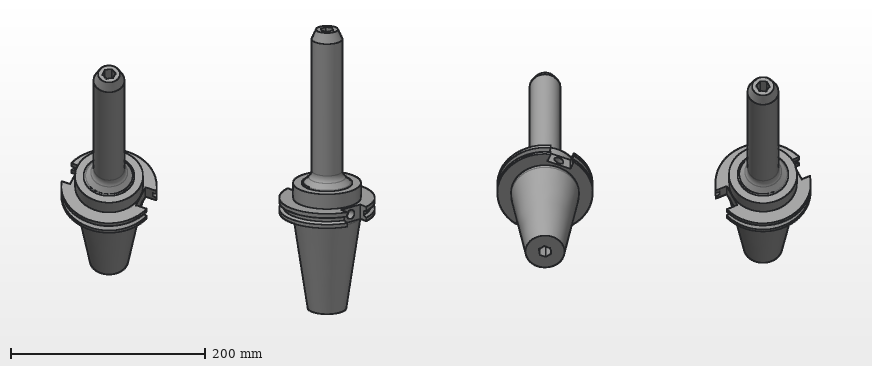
import cadquery as cq
import math

total_height = 304.8
taper_height = 101.5
flange_bottom = 105.0
flange_top = 120.7
collar_top = 137.0
arbor_bevel_height = 10.5

taper_small_radius = 20.0
taper_large_radius = 35.0
flange_radius = 49.23
collar_radius = 35.0
arbor_diameter = 32.0
arbor_radius = arbor_diameter / 2
arbor_tip_radius = 11.3

groove_floor_radius = 45.0
groove_bottom = 108.8
groove_top = 116.0
groove_side_height = 1.8

rim_radius = 26.2
rim_height = 1.0
cone_base_radius = 24.5
neck_fillet_radius = 10.0
neck_angle = math.radians(45)

slot_width = 25.5
slot_floor_left = 38.0
slot_floor_right = 35.5

hex_across_flats = 12.0
side_hole_diameter = 9.8
side_hole_depth = 9


def turned_body():
    cone_base_z = collar_top + rim_height
    cone_top_radius = arbor_radius + neck_fillet_radius * (1 - math.cos(neck_angle))
    cone_top_z = cone_base_z + (cone_base_radius - cone_top_radius) * math.tan(neck_angle)
    arc_top_z = cone_top_z + neck_fillet_radius * math.sin(neck_angle)
    arc_middle = (
        arbor_radius + neck_fillet_radius * (1 - math.cos(neck_angle / 2)),
        arc_top_z - neck_fillet_radius * math.sin(neck_angle / 2),
    )
    return (
        cq.Workplane("XZ")
        .lineTo(taper_small_radius, 0)
        .lineTo(taper_large_radius, taper_height)
        .lineTo(taper_large_radius, flange_bottom)
        .lineTo(flange_radius, flange_bottom)
        .lineTo(flange_radius, groove_bottom)
        .lineTo(groove_floor_radius, groove_bottom + groove_side_height)
        .lineTo(groove_floor_radius, groove_top - groove_side_height)
        .lineTo(flange_radius, groove_top)
        .lineTo(flange_radius, flange_top)
        .lineTo(collar_radius, flange_top)
        .lineTo(collar_radius, collar_top)
        .lineTo(rim_radius, collar_top)
        .lineTo(cone_base_radius, cone_base_z)
        .lineTo(cone_top_radius, cone_top_z)
        .threePointArc(arc_middle, (arbor_radius, arc_top_z))
        .lineTo(arbor_radius, total_height - arbor_bevel_height)
        .lineTo(arbor_tip_radius, total_height)
        .lineTo(0, total_height)
        .close()
        .revolve(360, (0, 0, 0), (0, 1, 0))
    )


def drive_slot(floor_distance, side):
    """Slot through the flange on the given side of X (-1 or 1)."""
    center_x = side * (floor_distance + flange_radius / 2)
    return (
        cq.Workplane("XY", origin=(center_x, 0, flange_bottom))
        .rect(flange_radius, slot_width)
        .extrude(flange_top - flange_bottom)
    )


def hex_bore():
    """Through hexagon with its corners on the Y axis."""
    across_corners = hex_across_flats / math.cos(math.radians(30))
    return (
        cq.Workplane("XY")
        .transformed(rotate=(0, 0, 90))
        .polygon(6, across_corners)
        .extrude(total_height)
    )


def side_hole():
    """Blind hole in the floor of the -X slot, at mid height of the flange."""
    center_z = (flange_bottom + flange_top) / 2
    return (
        cq.Workplane("YZ", origin=(-slot_floor_left, 0, center_z))
        .circle(side_hole_diameter / 2)
        .extrude(side_hole_depth)
    )


result = (
    turned_body()
    .cut(drive_slot(slot_floor_left, -1))
    .cut(drive_slot(slot_floor_right, 1))
    .cut(hex_bore())
    .cut(side_hole())
)